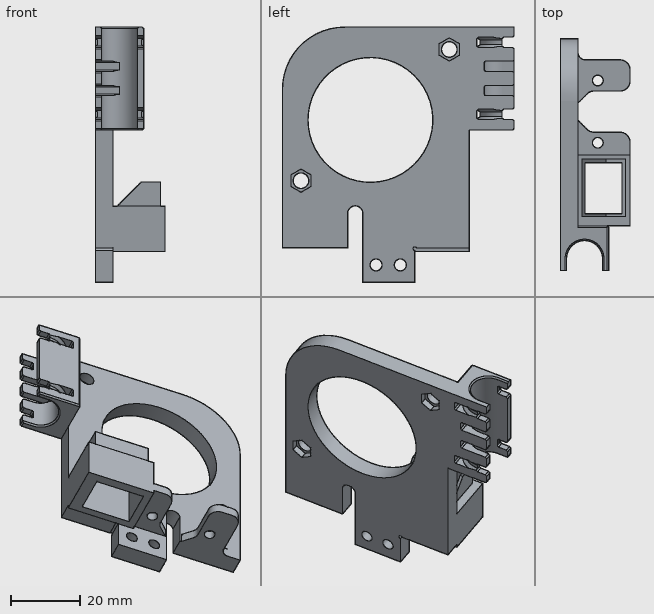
import cadquery as cq


height = 73.8
plate_thick = 5.2
plate_width = 54.1
plate_bottom = 9.95
bore_dia = 36.0
bore_y = 28.6
bore_z = 46.9
nut_spots = [(5.8, 67.3), (48.7, 29.4)]
nut_hole_dia = 4.4
nut_corners = 6.7
nut_depth = 2.0

tab_y_min = 15.8
tab_y_max = 30.9
tab_hole_dia = 3.4
tab_hole_z = 5.0
tab_hole_spots = [(20.0, tab_hole_z), (27.0, tab_hole_z)]
slot_width = 4.2
slot_top = 22.1
slot_arc_rise = 1.6
relief_radius = 0.5
relief_drop = 0.2

depth = 20.2
socket_y_max = 20.45
socket_bottom = 8.85
socket_top = 22.0
collar_x_min = 6.3
collar_x_max = 18.9
collar_y_min = 2.65
collar_y_max = 19.3
collar_top = 29.0
window_x_min = 7.15
window_x_max = 17.8
window_y_min = 3.55
window_y_max = 18.2

lug_thick = 3.0
lug_gap = 11.8
lug_y_max = 48.05
lug_corner_radius = 3.0
lug_root_radius = 2.0
lug_slope = 3.4
lug_slope_radius = 2.6
lug_hole_dia = 3.0
lug_hole_x = 10.85
lug_hole_spacing = 18.0
lug_mid_y = tab_y_max + slot_width / 2

clip_width = 14.0
clip_reach = 12.9
clip_bottom = 44.0
clip_height = height - clip_bottom
rod_dia = 10.3
rod_x = clip_width / 2
rod_y = -9.45
edge_break = 0.45
flare_angle = 45

clip_slot_height = 2.95
tie_slot_zs = [69.4, 48.55]
tie_slot_end = -2.15
tie_core_radius = 6.4
tie_core_foot_radius = 7.45
tie_core_height = 1.4
finger_slot_zs = [62.4, 55.4]
finger_slot_end = -4.2

overshoot = 0.75


def box(x, y, z):
    """Box between the given (low, high) limits along each axis."""
    size = (x[1] - x[0], y[1] - y[0], z[1] - z[0])
    return cq.Workplane("XY").box(*size, centered=False).translate((x[0], y[0], z[0]))


def drill_x(spots, diameter):
    """Cylinders along X through the plate at (Y, Z) spots."""
    return cq.Workplane("YZ").pushPoints(spots).circle(diameter / 2).extrude(plate_thick)


def make_plate():
    slot_outer = tab_y_max + slot_width
    arc_start = slot_top - slot_arc_rise
    corner_radius = bore_dia / 2
    plate = (
        cq.Workplane("YZ")
        .moveTo(0, plate_bottom)
        .lineTo(tab_y_min, plate_bottom)
        .lineTo(tab_y_min, 0)
        .lineTo(tab_y_max, 0)
        .lineTo(tab_y_max, arc_start)
        .threePointArc((lug_mid_y, slot_top), (slot_outer, arc_start))
        .lineTo(slot_outer, plate_bottom)
        .lineTo(plate_width, plate_bottom)
        .lineTo(plate_width, height - corner_radius)
        .radiusArc((plate_width - corner_radius, height), -corner_radius)
        .lineTo(0, height)
        .close()
        .extrude(plate_thick)
    )
    for y, z in nut_spots:
        nut = cq.Workplane("YZ").polygon(6, nut_corners).extrude(nut_depth)
        nut = nut.rotate((0, 0, 0), (1, 0, 0), 30).translate((0, y, z))
        plate = plate.cut(nut)
    plate = plate.cut(drill_x([(bore_y, bore_z)], bore_dia))
    plate = plate.cut(drill_x(nut_spots, nut_hole_dia))
    plate = plate.cut(drill_x(tab_hole_spots, tab_hole_dia))
    return plate.cut(drill_x([(tab_y_min, plate_bottom - relief_drop)], 2 * relief_radius))


def make_socket():
    socket = box((plate_thick, depth), (0, socket_y_max), (socket_bottom, socket_top))
    rise = collar_top - socket_top
    collar = (
        cq.Workplane("XZ", origin=(0, collar_y_max, 0))
        .moveTo(collar_x_min, socket_top)
        .lineTo(collar_x_min + rise, collar_top)
        .lineTo(collar_x_max, collar_top)
        .lineTo(collar_x_max, socket_top)
        .close()
        .extrude(collar_y_max - collar_y_min)
    )
    window = box(
        (window_x_min, window_x_max), (window_y_min, window_y_max), (socket_bottom, collar_top)
    )
    return socket.union(collar).cut(window)


def make_lugs():
    """Two lugs drawn as one outline that dips to the plate between them."""
    near_side = lug_mid_y - lug_gap / 2
    far_side = lug_mid_y + lug_gap / 2
    slope_end = plate_thick + lug_slope
    root_end = lug_y_max + lug_root_radius
    lugs = (
        cq.Workplane("XY", origin=(0, 0, plate_bottom))
        .moveTo(plate_thick - overshoot, socket_y_max - overshoot)
        .lineTo(depth, socket_y_max - overshoot)
        .lineTo(depth, near_side)
        .lineTo(slope_end, near_side)
        .lineTo(plate_thick, near_side + lug_slope)
        .lineTo(plate_thick - overshoot, near_side + lug_slope)
        .lineTo(plate_thick - overshoot, far_side - lug_slope)
        .lineTo(plate_thick, far_side - lug_slope)
        .lineTo(slope_end, far_side)
        .lineTo(depth, far_side)
        .lineTo(depth, lug_y_max)
        .lineTo(plate_thick + lug_root_radius, lug_y_max)
        .radiusArc((plate_thick, root_end), lug_root_radius)
        .lineTo(plate_thick - overshoot, root_end)
        .close()
        .extrude(lug_thick)
    )
    mid_z = plate_bottom + lug_thick / 2
    roundings = [(depth, y, lug_corner_radius) for y in (near_side, far_side, lug_y_max)]
    roundings += [(slope_end, y, lug_slope_radius) for y in (near_side, far_side)]
    for x, y, radius in roundings:
        corner = cq.NearestToPointSelector((x, y, mid_z))
        lugs = lugs.edges("|Z").edges(corner).fillet(radius)
    half_spacing = lug_hole_spacing / 2
    holes = (
        cq.Workplane("XY", origin=(lug_hole_x, lug_mid_y, plate_bottom))
        .pushPoints([(0, -half_spacing), (0, half_spacing)])
        .circle(lug_hole_dia / 2)
        .extrude(lug_thick)
    )
    return lugs.cut(holes)


def make_clip_block():
    """Block with broken outer edges, its back filled flush where it meets the plate."""
    block = box((0, clip_width), (-clip_reach, 0), (clip_bottom, height))
    block = block.edges(">X and (|Y or >Y)").chamfer(edge_break)
    block = block.faces("<Z").edges("<Y").chamfer(edge_break)
    block = block.edges(cq.NearestToPointSelector((rod_x, 0, height))).chamfer(edge_break)
    return block.union(box((0, plate_thick), (-edge_break, 0), (clip_bottom, height)))


def rod_outline(radius, z):
    """Closed U outline around the rod at height z, reaching out through the -Y side."""
    return (
        cq.Workplane("XY", origin=(rod_x, rod_y, z))
        .moveTo(-radius, -clip_reach)
        .lineTo(-radius, 0)
        .threePointArc((0, radius), (radius, 0))
        .lineTo(radius, -clip_reach)
        .close()
    )


def rod_channel():
    """Rod channel with a chamfer flaring out at its top and bottom."""
    radius = rod_dia / 2
    channel = rod_outline(radius, clip_bottom).extrude(clip_height)
    flare = rod_outline(radius + edge_break, height).extrude(-edge_break, taper=flare_angle)
    flare_mirror = flare.mirror("XY", (0, 0, clip_bottom + clip_height / 2))
    return channel.union(flare).union(flare_mirror)


def clip_slot(z, end_y, length):
    """Slot along X from X = 0, with a flared mouth and a chamfered inner end."""
    half = clip_slot_height / 2
    mouth = -clip_reach
    upper = [
        (mouth, half + edge_break),
        (mouth + edge_break, half),
        (end_y - edge_break, half),
        (end_y, half - edge_break),
    ]
    lower = [(y, -h) for y, h in reversed(upper)]
    return cq.Workplane("YZ", origin=(0, 0, z)).polyline(upper + lower).close().extrude(length)


def tie_slot(z):
    """Slot across the whole clip that leaves a round core behind the rod for a cable tie."""
    half = clip_slot_height / 2
    core_half = tie_core_height / 2
    core = (
        cq.Workplane("XZ", origin=(rod_x, rod_y, z))
        .polyline(
            [
                (0, -half),
                (tie_core_foot_radius, -half),
                (tie_core_radius, -core_half),
                (tie_core_radius, core_half),
                (tie_core_foot_radius, half),
                (0, half),
            ]
        )
        .close()
        .revolve(360, (0, 0, 0), (0, 1, 0))
    )
    core = core.intersect(box((0, clip_width), (rod_y, 0), (z - half, z + half)))
    lip = (
        cq.Workplane("YZ")
        .polyline([(rod_y, half), (rod_y - edge_break, half), (rod_y, half - edge_break)])
        .close()
        .extrude(clip_width)
    )
    lips = lip.union(lip.mirror("XY")).translate((0, 0, z))
    return clip_slot(z, tie_slot_end, clip_width).cut(core).cut(lips)


def make_clip():
    clip = make_clip_block()
    clip = clip.cut(rod_channel())
    for z in tie_slot_zs:
        clip = clip.cut(tie_slot(z))
    for z in finger_slot_zs:
        clip = clip.cut(clip_slot(z, finger_slot_end, rod_x))
    return clip


result = make_plate().union(make_socket()).union(make_lugs()).union(make_clip())